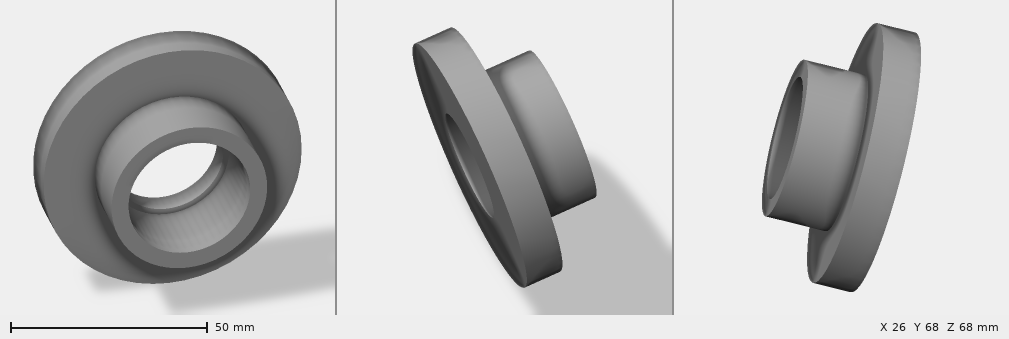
import cadquery as cq

flange_diameter = 68.0
flange_thickness = 10.0
hub_diameter = 41.0
total_length = 26.0
bore_diameter = 29.0
bore_depth = 6.0
counterbore_diameter = 32.0


def cylinder(diameter, start, end):
    """Solid cylinder on the X axis between two X positions."""
    return cq.Workplane("YZ", origin=(start, 0, 0)).circle(diameter / 2).extrude(end - start)


flange = cylinder(flange_diameter, 0, flange_thickness)
hub = cylinder(hub_diameter, 0, total_length)

bore = cylinder(bore_diameter, 0, bore_depth)
counterbore = cylinder(counterbore_diameter, bore_depth, total_length)

result = flange.union(hub).cut(bore).cut(counterbore)